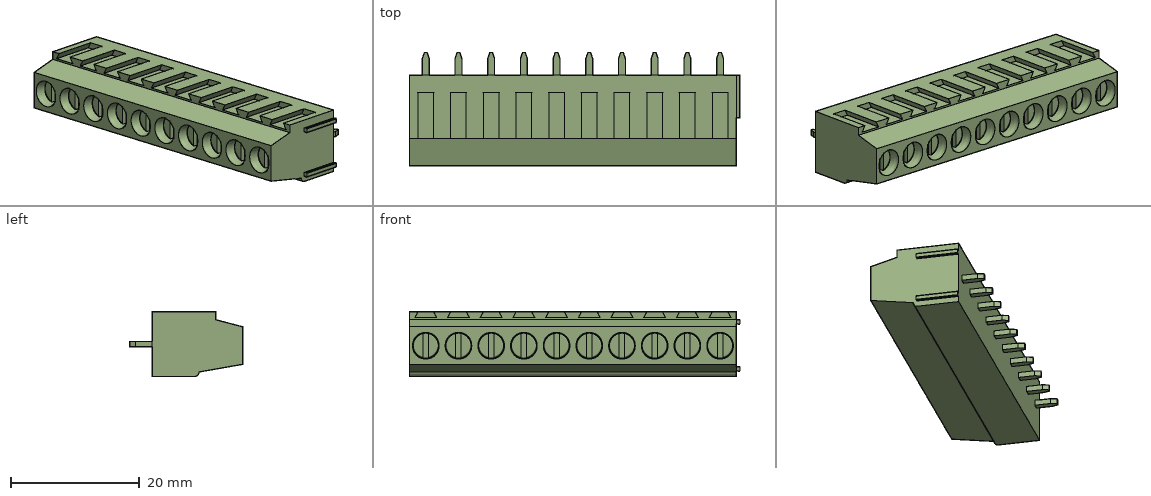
import cadquery as cq
import math

FULL_TURN = 360
ARC_MIDPOINT = math.cos(math.radians(45))

POLE_COUNT = 10
PITCH = 5.08
BODY_LENGTH = POLE_COUNT * PITCH

BODY_DEPTH = 14.1
BODY_HEIGHT = 10.1
FRONT_FACE_BOTTOM = 1.9
FRONT_FACE_TOP = 7.75
TOP_STEP_DEPTH = 4.2
TOP_STEP_HEIGHT = 1.25
FOOT_DEPTH = 6.8
FOOT_ROUNDING = 0.7

SLOT_TOP_WIDTH = 2.4
SLOT_FLOOR_WIDTH = 3.4
SLOT_HEIGHT = 0.95
SLOT_BACK_MARGIN = 2.75

WELL_CENTER_HEIGHT = 4.8
MOUTH_RADIUS = 2.07
MOUTH_DEPTH = 0.4
TAPER_DEPTH = 0.4
WELL_RADIUS = 1.95
HEAD_DEPTH = 1.65
HEAD_ROUNDING = 0.22
SCREW_SLOT_WIDTH = 0.85
SCREW_SLOT_DEPTH = 0.8

PIN_LENGTH = 3.5
PIN_WIDTH = 1.1
PIN_THICKNESS = 0.85
PIN_CENTER_HEIGHT = 5.05
PIN_TIP_LENGTH = 0.95
PIN_TIP_WIDTH = 0.45

RIB_PROJECTION = 0.57
RIB_LENGTH = 6.65
RIB_BASE_HEIGHT = 0.6
RIB_FULL_HEIGHT = 0.8
RIB_TIP_CHAMFER = 0.12
RIB_CENTER_HEIGHTS = (1.2, 8.5)


def pole_centers():
    """X position of every terminal along the row."""
    return [(index + 0.5) * PITCH for index in range(POLE_COUNT)]


def make_body():
    """Body cross-section, rounded under the foot, extruded along the row."""
    arc_inset = FOOT_ROUNDING * (1 - ARC_MIDPOINT)
    return (
        cq.Workplane("YZ")
        .moveTo(0, FRONT_FACE_BOTTOM)
        .lineTo(FOOT_DEPTH, FOOT_ROUNDING)
        .threePointArc((FOOT_DEPTH + arc_inset, arc_inset), (FOOT_DEPTH + FOOT_ROUNDING, 0))
        .lineTo(BODY_DEPTH, 0)
        .lineTo(BODY_DEPTH, BODY_HEIGHT)
        .lineTo(TOP_STEP_DEPTH, BODY_HEIGHT)
        .lineTo(TOP_STEP_DEPTH, BODY_HEIGHT - TOP_STEP_HEIGHT)
        .lineTo(0, FRONT_FACE_TOP)
        .close()
        .extrude(BODY_LENGTH)
    )


def make_slot(center_x):
    """Dovetail cutter, open at the top step and closed at the back."""
    floor_z = BODY_HEIGHT - SLOT_HEIGHT
    outline = [
        (center_x - SLOT_FLOOR_WIDTH / 2, floor_z),
        (center_x + SLOT_FLOOR_WIDTH / 2, floor_z),
        (center_x + SLOT_TOP_WIDTH / 2, BODY_HEIGHT),
        (center_x - SLOT_TOP_WIDTH / 2, BODY_HEIGHT),
    ]
    slot_length = BODY_DEPTH - SLOT_BACK_MARGIN - TOP_STEP_DEPTH
    front = cq.Workplane("XZ", origin=(0, TOP_STEP_DEPTH, 0))
    return front.polyline(outline).close().extrude(-slot_length)


def make_screw_well(center_x):
    """Round well with a tapered mouth, leaving a slotted screw head at its bottom."""
    head_radius = WELL_RADIUS - HEAD_ROUNDING
    head_edge_depth = HEAD_DEPTH + HEAD_ROUNDING
    arc_depth = HEAD_DEPTH + HEAD_ROUNDING * (1 - ARC_MIDPOINT)
    arc_radius = head_radius + HEAD_ROUNDING * ARC_MIDPOINT
    well = (
        cq.Workplane("XY")
        .lineTo(MOUTH_RADIUS, 0)
        .lineTo(MOUTH_RADIUS, MOUTH_DEPTH)
        .lineTo(WELL_RADIUS, MOUTH_DEPTH + TAPER_DEPTH)
        .lineTo(WELL_RADIUS, head_edge_depth)
        .threePointArc((arc_radius, arc_depth), (head_radius, HEAD_DEPTH))
        .lineTo(0, HEAD_DEPTH)
        .close()
        .revolve(FULL_TURN, (0, 0, 0), (0, 1, 0))
        .translate((center_x, 0, WELL_CENTER_HEIGHT))
    )
    front = cq.Workplane("XZ", origin=(center_x, 0, WELL_CENTER_HEIGHT))
    total_depth = HEAD_DEPTH + SCREW_SLOT_DEPTH
    driver_slot = front.rect(SCREW_SLOT_WIDTH, 2 * WELL_RADIUS).extrude(-total_depth)
    screw_bore = front.circle(WELL_RADIUS).extrude(-total_depth)
    return well.union(driver_slot.intersect(screw_bore))


def make_pin(center_x):
    """Flat pin with a tapered tip, standing on the back face."""
    shoulder = PIN_LENGTH - PIN_TIP_LENGTH
    outline = [
        (-PIN_WIDTH / 2, 0),
        (PIN_WIDTH / 2, 0),
        (PIN_WIDTH / 2, shoulder),
        (PIN_TIP_WIDTH / 2, PIN_LENGTH),
        (-PIN_TIP_WIDTH / 2, PIN_LENGTH),
        (-PIN_WIDTH / 2, shoulder),
    ]
    bottom_z = PIN_CENTER_HEIGHT - PIN_THICKNESS / 2
    base = cq.Workplane("XY", origin=(center_x, BODY_DEPTH, bottom_z))
    return base.polyline(outline).close().extrude(PIN_THICKNESS)


def make_rib(center_z):
    """Flared rib with a chamfered tip on the +X end face, running forward from the back face."""
    shoulder = RIB_PROJECTION - RIB_TIP_CHAMFER
    tip_half_height = RIB_FULL_HEIGHT / 2 - RIB_TIP_CHAMFER
    outline = [
        (0, -RIB_BASE_HEIGHT / 2),
        (shoulder, -RIB_FULL_HEIGHT / 2),
        (RIB_PROJECTION, -tip_half_height),
        (RIB_PROJECTION, tip_half_height),
        (shoulder, RIB_FULL_HEIGHT / 2),
        (0, RIB_BASE_HEIGHT / 2),
    ]
    back = cq.Workplane("XZ", origin=(BODY_LENGTH, BODY_DEPTH, center_z))
    return back.polyline(outline).close().extrude(RIB_LENGTH)


result = make_body()
for x in pole_centers():
    result = result.cut(make_slot(x))
    result = result.cut(make_screw_well(x))
    result = result.union(make_pin(x))
for z in RIB_CENTER_HEIGHTS:
    result = result.union(make_rib(z))